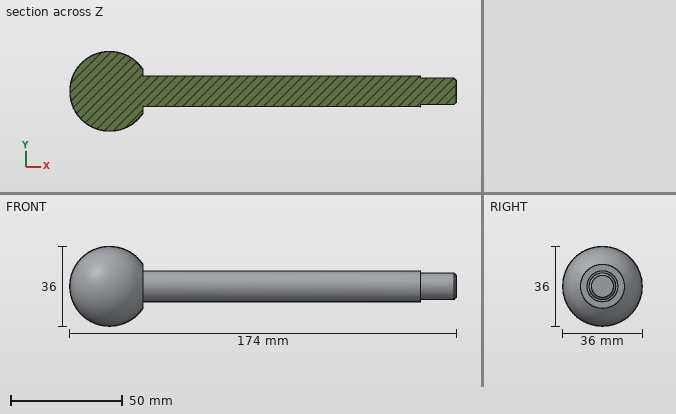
import cadquery as cq

total_length = 174.0
ball_diameter = 36.0
ball_length = 33.0
rod_diameter = 14.0
pin_diameter = 12.0
pin_length = 16.0
tip_chamfer = 1.0

pole_x = -total_length / 2
ball_center_x = pole_x + ball_diameter / 2
flat_x = pole_x + ball_length
pin_start_x = total_length / 2 - pin_length


def cylinder_along_x(start_x, end_x, diameter):
    """Solid cylinder on the X axis between two positions."""
    return (
        cq.Workplane("YZ")
        .workplane(offset=start_x)
        .circle(diameter / 2)
        .extrude(end_x - start_x)
    )


ball = cq.Workplane("XY").sphere(ball_diameter / 2).translate((ball_center_x, 0, 0))
ball = ball.intersect(cylinder_along_x(pole_x, flat_x, 2 * ball_diameter))

rod = cylinder_along_x(ball_center_x, pin_start_x, rod_diameter)

pin = cylinder_along_x(pin_start_x, total_length / 2, pin_diameter)
pin = pin.faces(">X").chamfer(tip_chamfer)

result = ball.union(rod).union(pin)